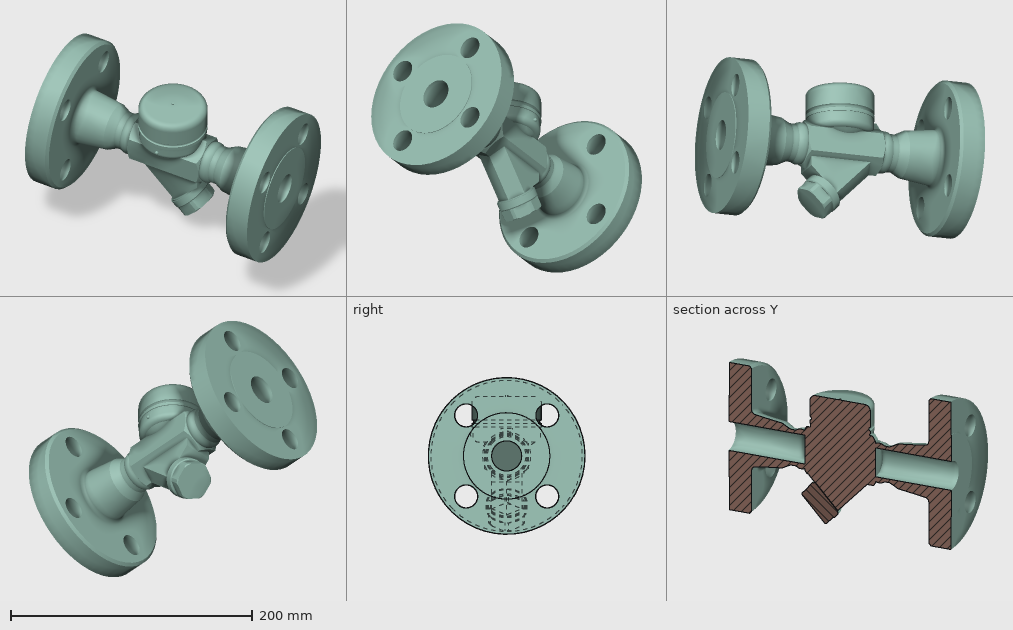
import cadquery as cq
import math

hex_sides = 6
half_flat_ratio = math.cos(math.pi / hex_sides)
arc_inset_ratio = 1 - math.sqrt(0.5)

overall_length = 210.0
flange_dia = 130.0
raised_face_dia = 71.6
raised_face_height = 0.6
flange_back_x = 83.2
flange_chamfer = 2.3
bolt_hole_dia = 19.0
bolt_circle_dia = 95.0
bolt_count = 4
bore_dia = 25.0

hub_fillet = 3.2
hub_root_dia = 46.5
hub_end_dia = 40.0
hub_end_x = 54.5
neck_dia = 32.0
neck_outer_x = 46.6
neck_inner_x = 41.5
bead_crown_dia = 35.3
bead_crown_x = 37.4
bead_end_dia = 34.0

hex_length = 67.2
hex_corner_radius = 21.0
hex_chamfer_length = 2.0
hex_end_dia = 35.7

cap_dia = 57.5
cap_top_z = 49.4
cap_edge_radius = 5.7
cap_bottom_z = 29.8
groove_radius = 1.5
rim_bottom_z = 24.0
bowl_dia = 56.0
bowl_bottom_z = 11.3
bowl_edge_radius = 4.8
seat_cone_dia = 36.5
seat_cone_z = 7.8
pip_dia = 2.0
pip_height = 0.8
knob_dia = 3.0
knob_z = 17.6
knob_tip_y = -30.0
knob_rounding = 1.3

lug_outer_x = -33.4
lug_shoulder_z = 18.5
lug_width = 9.5
lug_top_z = 22.9
lug_top_x = -30.5

branch_axis_offset = 18.0
branch_corner_radius = 14.7
branch_start = -6.3
branch_end = 36.3
branch_top_offset = 11.1
branch_side_x = 29.6

plug_neck_dia = 32.0
plug_neck_height = 1.0
plug_flange_dia = 34.0
plug_flange_height = 8.0
plug_hex_height = 9.7
plug_hex_flats = 29.8
plug_corner_dia = 32.8
plug_chamfer = 0.8


def branch_plane(distance):
    """Plane square to the branch at a distance from the origin: local x points up the slope."""
    step = distance / math.sqrt(2)
    return cq.Plane(origin=(step, 0, -step), xDir=(1, 0, 1), normal=(1, 0, -1))


def make_pipe_end():
    """Flange, hub and neck on the +X side."""
    end_x = overall_length / 2
    rim_x = end_x - raised_face_height
    flange_radius = flange_dia / 2
    hub_root_radius = hub_root_dia / 2
    fillet_offset = hub_fillet * arc_inset_ratio
    outline = (
        cq.Workplane("XY")
        .moveTo(0, 0)
        .lineTo(0, bead_end_dia / 2)
        .lineTo(hex_length / 2, bead_end_dia / 2)
        .threePointArc((bead_crown_x, bead_crown_dia / 2), (neck_inner_x, neck_dia / 2))
        .lineTo(neck_outer_x, neck_dia / 2)
        .lineTo(hub_end_x, hub_end_dia / 2)
        .lineTo(flange_back_x - hub_fillet, hub_root_radius)
        .threePointArc(
            (flange_back_x - fillet_offset, hub_root_radius + fillet_offset),
            (flange_back_x, hub_root_radius + hub_fillet),
        )
        .lineTo(flange_back_x, flange_radius - flange_chamfer)
        .lineTo(flange_back_x + flange_chamfer, flange_radius)
        .lineTo(rim_x, flange_radius)
        .lineTo(rim_x, raised_face_dia / 2)
        .lineTo(end_x, raised_face_dia / 2)
        .lineTo(end_x, 0)
        .close()
    )
    pipe_end = outline.revolve(360, (0, 0, 0), (1, 0, 0))
    bolt_holes = (
        cq.Workplane("YZ", origin=(flange_back_x, 0, 0))
        .polarArray(bolt_circle_dia / 2, 180 / bolt_count, 360, bolt_count)
        .circle(bolt_hole_dia / 2)
        .extrude(end_x - flange_back_x)
    )
    return pipe_end.cut(bolt_holes)


def make_bore():
    """Blind bore from the +X end to the centre block."""
    bore_start = hex_length / 2
    return (
        cq.Workplane("YZ", origin=(bore_start, 0, 0))
        .circle(bore_dia / 2)
        .extrude(overall_length / 2 - bore_start)
    )


def make_hex_block():
    """Hexagonal bar whose corners are turned down to a cone at both ends."""
    half_length = hex_length / 2
    bar_plane = cq.Plane(origin=(-half_length, 0, 0), xDir=(0, 0, 1), normal=(1, 0, 0))
    bar = cq.Workplane(bar_plane).polygon(hex_sides, 2 * hex_corner_radius).extrude(hex_length)
    shoulder_x = half_length - hex_chamfer_length
    turned = (
        cq.Workplane("XY")
        .polyline([
            (-half_length, 0),
            (-half_length, hex_end_dia / 2),
            (-shoulder_x, hex_corner_radius),
            (shoulder_x, hex_corner_radius),
            (half_length, hex_end_dia / 2),
            (half_length, 0),
        ])
        .close()
        .revolve(360, (0, 0, 0), (1, 0, 0))
    )
    return bar.intersect(turned)


def make_cap():
    """Round cap, round groove and bowl as one turned shape, with its pip and knob."""
    cap_radius = cap_dia / 2
    bowl_radius = bowl_dia / 2
    groove_bottom_z = cap_bottom_z - 2 * groove_radius
    cap_arc_offset = cap_edge_radius * arc_inset_ratio
    bowl_arc_offset = bowl_edge_radius * arc_inset_ratio
    cap = (
        cq.Workplane("XZ")
        .moveTo(0, 0)
        .lineTo(0, cap_top_z)
        .lineTo(cap_radius - cap_edge_radius, cap_top_z)
        .threePointArc(
            (cap_radius - cap_arc_offset, cap_top_z - cap_arc_offset),
            (cap_radius, cap_top_z - cap_edge_radius),
        )
        .lineTo(cap_radius, cap_bottom_z)
        .threePointArc(
            (cap_radius - groove_radius, cap_bottom_z - groove_radius),
            (cap_radius, groove_bottom_z),
        )
        .lineTo(cap_radius, rim_bottom_z)
        .lineTo(bowl_radius, rim_bottom_z)
        .lineTo(bowl_radius, bowl_bottom_z + bowl_edge_radius)
        .threePointArc(
            (bowl_radius - bowl_arc_offset, bowl_bottom_z + bowl_arc_offset),
            (bowl_radius - bowl_edge_radius, bowl_bottom_z),
        )
        .lineTo(seat_cone_dia / 2, seat_cone_z)
        .close()
        .revolve(360, (0, 0, 0), (0, 1, 0))
    )
    pip = cq.Workplane("XY", origin=(0, 0, cap_top_z)).circle(pip_dia / 2).extrude(pip_height)
    knob = (
        cq.Workplane("XZ", origin=(0, 0, knob_z))
        .circle(knob_dia / 2)
        .extrude(-knob_tip_y)
        .faces("<Y")
        .edges()
        .fillet(knob_rounding)
    )
    return cap.union(pip).union(knob)


def make_lug():
    """Small stop between the block's ridge and the bowl, with a steep outer end."""
    return (
        cq.Workplane("XZ", origin=(0, lug_width / 2, 0))
        .polyline([
            (0, 0),
            (lug_outer_x, 0),
            (lug_outer_x, lug_shoulder_z),
            (lug_top_x, lug_top_z),
            (0, lug_top_z),
        ])
        .close()
        .extrude(lug_width)
    )


def make_branch():
    """Sloping branch: flat sides, with two bevels meeting in a ridge on its lower side."""
    ridge = -branch_axis_offset - branch_corner_radius
    bevel_top = ridge + branch_corner_radius / 2
    half_thickness = branch_corner_radius * half_flat_ratio
    prism = (
        cq.Workplane(branch_plane(branch_start))
        .polyline([
            (ridge, 0),
            (bevel_top, half_thickness),
            (branch_top_offset, half_thickness),
            (branch_top_offset, -half_thickness),
            (bevel_top, -half_thickness),
        ])
        .close()
        .extrude(branch_end - branch_start)
    )
    beyond_side = (
        cq.Workplane("YZ", origin=(branch_side_x, 0, 0))
        .rect(overall_length, overall_length)
        .extrude(overall_length)
    )
    return prism.cut(beyond_side)


def make_valve():
    """Flanged trap body with its cap, as one solid."""
    pipe_end = make_pipe_end()
    bore = make_bore()
    valve = (
        make_hex_block()
        .union(make_branch())
        .union(make_lug())
        .union(make_cap())
        .union(pipe_end)
        .union(pipe_end.mirror("YZ"))
    )
    return valve.cut(bore).cut(bore.mirror("YZ"))


def plug_disc(diameter, start, end):
    """Disc on the branch axis between two distances from the origin."""
    return (
        cq.Workplane(branch_plane(start))
        .center(-branch_axis_offset, 0)
        .circle(diameter / 2)
        .extrude(end - start)
    )


def make_plug():
    """Neck seated on the branch end, round flange, and a hexagon with turned corners."""
    flange_start = branch_end + plug_neck_height
    hex_start = branch_end + plug_flange_height
    hex_end = hex_start + plug_hex_height
    neck = plug_disc(plug_neck_dia, branch_end, flange_start)
    flange = plug_disc(plug_flange_dia, flange_start, hex_start).faces(">(1,0,-1)").chamfer(plug_chamfer)
    turned = plug_disc(plug_corner_dia, hex_start, hex_end).faces(">(1,0,-1)").chamfer(plug_chamfer)
    hexagon = (
        cq.Workplane(branch_plane(hex_start))
        .center(-branch_axis_offset, 0)
        .polygon(hex_sides, plug_hex_flats / half_flat_ratio)
        .extrude(plug_hex_height)
    )
    return neck.union(flange).union(hexagon.intersect(turned))


valve = make_valve()
plug = make_plug()
result = cq.Compound.makeCompound([valve.val(), plug.val()])